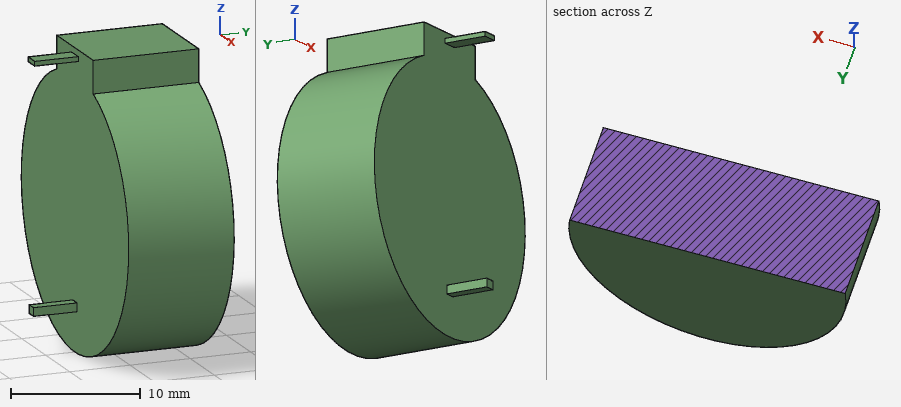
import cadquery as cq

overall_height = 24.38
body_diameter = 22.35
body_depth = 8.75
pin_length = 3.6

tab_width = 7.6

upper_pin_width = 1.4
upper_pin_thickness = 0.4
upper_pin_z = 12.48
lower_pin_width = 0.9
lower_pin_thickness = 0.7
lower_pin_z = -7.45

body_radius = body_diameter / 2
tab_top = overall_height - body_radius


def make_body():
    """Round body, front face on the XZ plane, extending toward +Y."""
    return cq.Workplane("XZ").circle(body_radius).extrude(-body_depth)


def make_tab():
    """Rectangular tab rising from the body axis, as deep as the body."""
    return cq.Workplane("XZ").center(0, tab_top / 2).rect(tab_width, tab_top).extrude(-body_depth)


def make_pin(width, thickness, height):
    """Rectangular pin standing out of the front face toward -Y."""
    return cq.Workplane("XZ").center(0, height).rect(width, thickness).extrude(pin_length)


result = (
    make_body()
    .union(make_tab())
    .union(make_pin(upper_pin_width, upper_pin_thickness, upper_pin_z))
    .union(make_pin(lower_pin_width, lower_pin_thickness, lower_pin_z))
)